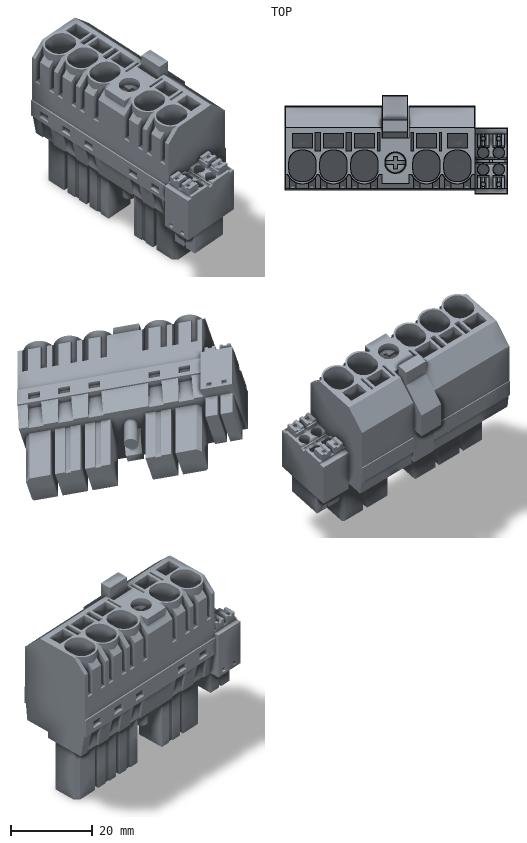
import cadquery as cq
import math


body_length = 46.65
body_bottom_z = 15.6
rear_bottom_z = 17.5
band_bottom_z = 22.35
band_top_z = 27.4
body_top_z = 44.75
front_y = 1.25
rear_y = 21.3
band_front_y = 0.95
band_rear_y = 21.55
bottom_step_y = 13.6
front_chamfer = 3.55
rear_chamfer = 5.05
skirt_front_top_y = 1.35
skirt_front_bottom_y = 2.55
skirt_rear_top_y = 21.1
skirt_rear_bottom_y = 20.6

first_pole_x = 4.25
last_pole_x = 42.35
position_count = 6
screw_position = 3
pole_pitch = (last_pole_x - first_pole_x) / (position_count - 1)
pole_xs = [first_pole_x + i * pole_pitch for i in range(position_count) if i != screw_position]
screw_x = first_pole_x + screw_position * pole_pitch
screw_y = 7.65

funnel_y = 6.9
funnel_width = 6.7
funnel_depth_y = 7.7
funnel_corner_radius = 3.0
funnel_wall = 0.6
funnel_floor_z = band_top_z
slot_floor_z = 33.85
slot_outer_half = 3.15
slot_inner_half = 1.55

opening_width = 4.9
opening_front_y = 11.25
opening_rear_y = 14.85
opening_depth = 10.95
relief_front_y = 10.55
relief_rear_y = 15.1
relief_depth = 5.45
wide_relief = 1.35
narrow_relief = 0.6
reliefs = [(8.05, wide_relief), (15.7, wide_relief), (23.0, narrow_relief),
           (31.25, narrow_relief), (38.2, narrow_relief)]

window_width = 2.95
window_bottom_z = 23.55
window_top_z = 25.65
window_depth = 1.2
recess_top_width = 3.4
recess_bottom_width = 3.8
recess_y = 2.95

sleeve_width = 6.45
sleeve_front_y = 4.8
sleeve_rear_y = 12.5
sleeve_front_chamfer = 1.1
sleeve_rear_chamfer = 0.5
groove_width = 1.4
groove_depth = 0.35

well_radius = 2.6
well_block_bottom_z = 42.45
head_radius = 2.5
head_top_z = 42.55
head_height = 3.3
shank_radius = 1.7
shank_end_z = 8.8
cross_long = 2 * head_radius
cross_short = 3.1
cross_width = 1.0
cross_depth = 0.8
guide_width = 4.15
guide_front_y = 9.55
guide_rear_y = 12.9
guide_end_z = 8.2
guide_taper_height = 3.0
guide_taper_depth = 1.4

latch_slot_left_x = 23.85
latch_slot_right_x = 30.45
latch_left_x = 23.95
latch_width = 6.2
latch_front_y = 13.75
latch_post_front_y = 15.2
latch_post_rear_y = 18.2
latch_rear_y = 24.15
latch_top_z = 47.7
latch_ledge_z = 41.0
latch_nose_bottom_z = 29.9
latch_nose_top_z = 37.25
latch_slope_top_z = latch_nose_top_z + latch_rear_y - latch_post_rear_y
latch_bottom_z = 18.25

signal_right_x = 54.65
signal_width = signal_right_x - body_length
signal_rear_y = 16.1
signal_mid_y = signal_rear_y / 2
signal_front_rim = 1.25
signal_rear_rim = 1.5
signal_rim_z = 28.45
signal_top_z = 29.0
signal_xs = [48.7, 52.5]
signal_sleeve_width = 3.05
signal_sleeve_front_y = 3.05
signal_sleeve_rear_y = 12.9
signal_sleeve_end_z = 8.95
signal_window = 1.2
signal_window_x_offset = 0.1
signal_window_bottom_z = 16.3
signal_window_depth = 0.65
wire_hole_radius = 1.4
wire_hole_offset = 2.1
wire_hole_depth = 4.35
valley_half_width = 0.7
valley_depth = 0.8
valley_round = 0.65
trough_width = 0.75
trough_depth = 0.2
trough_pocket_width = 3.05
trough_pocket_depth = 0.45

button_width = 2.8
button_depth_y = 3.2
button_step_y = 0.35
button_step_height = 0.75
button_top_z = 31.15
button_bottom_z = 25.15
button_groove_top = 1.25
button_groove_floor = 0.7
button_groove_depth = 0.55
button_dimple_radius = 0.55
button_dimple_depth = 1.0
button_dimple_y = 1.1


def box(x0, x1, y0, y1, z0, z1):
    """A box between two opposite corners."""
    return cq.Workplane("XY").box(x1 - x0, y1 - y0, z1 - z0, centered=False).translate((x0, y0, z0))


def centred_box(x, width, y0, y1, z0, z1):
    """A box centred on x."""
    return box(x - width / 2, x + width / 2, y0, y1, z0, z1)


def side_profile(points, x0, x1):
    """A (y, z) outline extruded along X from x0 to x1."""
    return cq.Workplane("YZ").polyline(points).close().extrude(x1 - x0).translate((x0, 0, 0))


def cylinder(x, y, radius, z0, z1):
    """An upright cylinder."""
    return cq.Workplane("XY").center(x, y).circle(radius).extrude(z1 - z0).translate((0, 0, z0))


def funnel_wall_prism(x):
    """The outside of a wire funnel: an upright oval."""
    return (cq.Workplane("XY").center(x, funnel_y)
            .slot2D(funnel_depth_y + 2 * funnel_wall, funnel_width + 2 * funnel_wall, 90)
            .extrude(body_top_z - slot_floor_z).translate((0, 0, slot_floor_z)))


def funnel_bore(x):
    """The bore of a wire funnel: an upright prism with widely rounded corners."""
    bore = (cq.Workplane("XY").rect(funnel_width, funnel_depth_y).extrude(body_top_z - funnel_floor_z)
            .edges("|Z").fillet(funnel_corner_radius))
    return bore.translate((x, funnel_y, funnel_floor_z))


def body_shell():
    """The main block with its chamfers, raised band and tapered skirt."""
    outline = [
        (skirt_front_bottom_y, body_bottom_z),
        (bottom_step_y, body_bottom_z),
        (bottom_step_y, rear_bottom_z),
        (skirt_rear_bottom_y, rear_bottom_z),
        (skirt_rear_top_y, band_bottom_z),
        (band_rear_y, band_bottom_z),
        (band_rear_y, band_top_z),
        (rear_y, band_top_z),
        (rear_y, body_top_z - rear_chamfer),
        (rear_y - rear_chamfer, body_top_z),
        (front_y + front_chamfer, body_top_z),
        (front_y, body_top_z - front_chamfer),
        (front_y, band_top_z),
        (band_front_y, band_top_z),
        (band_front_y, band_bottom_z),
        (skirt_front_top_y, band_bottom_z),
    ]
    return side_profile(outline, 0, body_length)


def funnel_slots(x):
    """The two slots in the front wall that bare the funnel's outer side."""
    whole = centred_box(x, 2 * slot_outer_half, 0, funnel_y, slot_floor_z, body_top_z)
    tongue = centred_box(x, 2 * slot_inner_half, 0, funnel_y, slot_floor_z, body_top_z)
    return whole.cut(tongue)


def skirt_recess(x):
    """A recess in the skirt's front that widens downwards."""
    outline = [
        (x - recess_bottom_width / 2, body_bottom_z),
        (x + recess_bottom_width / 2, body_bottom_z),
        (x + recess_top_width / 2, band_bottom_z),
        (x - recess_top_width / 2, band_bottom_z),
    ]
    return cq.Workplane("XZ").polyline(outline).close().extrude(-recess_y)


def pole_sleeve(index):
    """A contact sleeve: the end ones have chamfered outer edges, the others a front groove."""
    x = pole_xs[index]
    sleeve = centred_box(x, sleeve_width, sleeve_front_y, sleeve_rear_y, 0, body_bottom_z)
    if index == 0:
        outer_side = "<X"
    elif index == len(pole_xs) - 1:
        outer_side = ">X"
    else:
        return sleeve.cut(centred_box(x, groove_width, sleeve_front_y, sleeve_front_y + groove_depth,
                                      0, body_bottom_z))
    sleeve = sleeve.faces(outer_side).edges("|Z and <Y").chamfer(sleeve_front_chamfer)
    return sleeve.faces(outer_side).edges("|Z and >Y").chamfer(sleeve_rear_chamfer)


def screw_guide():
    """The block behind the screw shank, with a sloping lead-in at its lower front."""
    outline = [
        (guide_front_y, body_bottom_z),
        (guide_rear_y, body_bottom_z),
        (guide_rear_y, guide_end_z),
        (guide_front_y + guide_taper_depth, guide_end_z),
        (guide_front_y, guide_end_z + guide_taper_height),
    ]
    return side_profile(outline, screw_x - guide_width / 2, screw_x + guide_width / 2)


def button_places():
    """Position and facing of each push button: x, outer y, and +1 (front row) or -1 (rear row)."""
    rows = [(signal_front_rim, 1), (signal_rear_y - signal_rear_rim, -1)]
    return [(x, y, facing) for x in signal_xs for y, facing in rows]


def button_block(x, outer_y, facing):
    """The plain block of one push button, which is also the shape of its pocket."""
    ys = sorted([outer_y, outer_y + facing * button_depth_y])
    return centred_box(x, button_width, ys[0], ys[1], button_bottom_z, button_top_z)


def signal_valley():
    """The groove between the two rows: rounded upper edges, a central trough and its pockets."""
    half_top = valley_half_width + valley_round
    floor_z = signal_top_z - valley_depth
    shoulder_z = signal_top_z - valley_round
    arc_offset = valley_round * (1 - math.sqrt(0.5))
    valley = (cq.Workplane("YZ")
              .moveTo(signal_mid_y - valley_half_width, floor_z)
              .lineTo(signal_mid_y + valley_half_width, floor_z)
              .lineTo(signal_mid_y + valley_half_width, shoulder_z)
              .threePointArc((signal_mid_y + valley_half_width + arc_offset, signal_top_z - arc_offset),
                             (signal_mid_y + half_top, signal_top_z))
              .lineTo(signal_mid_y - half_top, signal_top_z)
              .threePointArc((signal_mid_y - valley_half_width - arc_offset, signal_top_z - arc_offset),
                             (signal_mid_y - valley_half_width, shoulder_z))
              .close().extrude(signal_width).translate((body_length, 0, 0)))
    trough_front_y = signal_mid_y - trough_width / 2
    trough_rear_y = signal_mid_y + trough_width / 2
    valley = valley.union(box(body_length, signal_right_x, trough_front_y, trough_rear_y,
                              floor_z - trough_depth, floor_z))
    for x in signal_xs:
        valley = valley.union(centred_box(x, trough_pocket_width, trough_front_y, trough_rear_y,
                                          floor_z - trough_pocket_depth, floor_z))
    return valley


def signal_section():
    """The two-row signal connector moulded onto the end of the body."""
    section = box(body_length, signal_right_x, 0, signal_rear_y, body_bottom_z, signal_rim_z)
    section = section.union(box(body_length, signal_right_x, signal_front_rim,
                                signal_rear_y - signal_rear_rim, signal_rim_z, signal_top_z))
    section = section.cut(signal_valley())
    for x in signal_xs:
        section = section.union(centred_box(x, signal_sleeve_width, signal_sleeve_front_y,
                                            signal_sleeve_rear_y, signal_sleeve_end_z, body_bottom_z))
        section = section.cut(centred_box(x + signal_window_x_offset, signal_window, 0, signal_window_depth,
                                          signal_window_bottom_z, signal_window_bottom_z + signal_window))
        for y in (signal_mid_y - wire_hole_offset, signal_mid_y + wire_hole_offset):
            section = section.cut(cylinder(x, y, wire_hole_radius, signal_top_z - wire_hole_depth,
                                           signal_top_z))
    for place in button_places():
        section = section.cut(button_block(*place))
    return section


def make_housing():
    housing = body_shell()
    for x in pole_xs:
        housing = housing.cut(funnel_slots(x))
    for x in pole_xs:
        housing = housing.union(funnel_wall_prism(x))
    for x in pole_xs:
        housing = housing.cut(funnel_bore(x))
        housing = housing.cut(centred_box(x, opening_width, opening_front_y, opening_rear_y,
                                          body_top_z - opening_depth, body_top_z))
        housing = housing.cut(centred_box(x, window_width, 0, band_front_y + window_depth,
                                          window_bottom_z, window_top_z))
        housing = housing.cut(skirt_recess(x))
    for x, width in reliefs:
        housing = housing.cut(centred_box(x, width, relief_front_y, relief_rear_y,
                                          body_top_z - relief_depth, body_top_z))
    for index in range(len(pole_xs)):
        housing = housing.union(pole_sleeve(index))

    block_front_y = front_y + front_chamfer - (body_top_z - well_block_bottom_z)
    housing = housing.union(box(latch_slot_left_x, latch_slot_right_x, block_front_y, screw_y,
                                well_block_bottom_z, body_top_z))
    housing = housing.union(screw_guide())
    housing = housing.cut(cylinder(screw_x, screw_y, well_radius, head_top_z - head_height, body_top_z))
    housing = housing.cut(cylinder(screw_x, screw_y, shank_radius, body_bottom_z, body_top_z))

    housing = housing.cut(box(latch_slot_left_x, latch_slot_right_x, latch_front_y, latch_rear_y,
                              body_bottom_z, body_top_z))
    return housing.union(signal_section())


def make_latch():
    outline = [
        (latch_front_y, latch_bottom_z),
        (rear_y, latch_bottom_z),
        (rear_y, latch_nose_bottom_z),
        (latch_rear_y, latch_nose_bottom_z),
        (latch_rear_y, latch_nose_top_z),
        (latch_post_rear_y, latch_slope_top_z),
        (latch_post_rear_y, latch_top_z),
        (latch_post_front_y, latch_top_z),
        (latch_post_front_y, latch_ledge_z),
        (latch_front_y, latch_ledge_z),
    ]
    return side_profile(outline, latch_left_x, latch_left_x + latch_width)


def make_screw():
    screw = cylinder(screw_x, screw_y, head_radius, head_top_z - head_height, head_top_z)
    screw = screw.union(cylinder(screw_x, screw_y, shank_radius, shank_end_z, head_top_z))
    for length_x, length_y in ((cross_long, cross_width), (cross_width, cross_short)):
        screw = screw.cut(centred_box(screw_x, length_x, screw_y - length_y / 2, screw_y + length_y / 2,
                                      head_top_z - cross_depth, head_top_z))
    return screw


def make_button(x, outer_y, facing):
    """A push button with a stepped inner edge, a tapered groove and a round dimple."""
    button = button_block(x, outer_y, facing)
    inner_y = outer_y + facing * button_depth_y
    step_ys = sorted([inner_y, inner_y - facing * button_step_y])
    step = centred_box(x, button_width, *step_ys, button_top_z - button_step_height, button_top_z)
    groove = (cq.Workplane("XZ")
              .polyline([(x - button_groove_top / 2, button_top_z),
                         (x + button_groove_top / 2, button_top_z),
                         (x + button_groove_floor / 2, button_top_z - button_groove_depth),
                         (x - button_groove_floor / 2, button_top_z - button_groove_depth)])
              .close().extrude(-signal_rear_y))
    dimple = cylinder(x, outer_y + facing * button_dimple_y, button_dimple_radius,
                      button_top_z - button_dimple_depth, button_top_z)
    return button.cut(step).cut(groove).cut(dimple)


housing = make_housing()
latch = make_latch()
screw = make_screw()
buttons = [make_button(*place) for place in button_places()]

result = cq.Compound.makeCompound(
    [housing.val(), latch.val(), screw.val(), *[button.val() for button in buttons]]
)